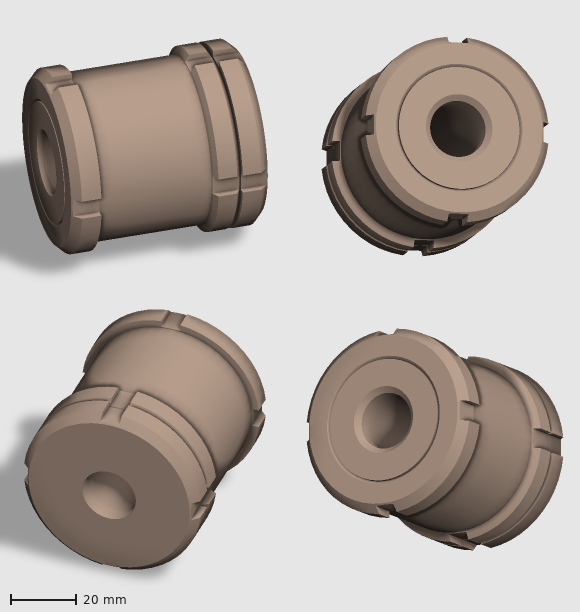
import cadquery as cq
import math

LENGTH = 63.0
SPAN_ACROSS_SLOTS = 57.71
SLOT_WIDTH = 6.2
SLOT_FLOOR_RADIUS = 26.75
SLOT_COUNT = 4

RING_RADIUS = math.hypot(SPAN_ACROSS_SLOTS / 2, SLOT_WIDTH / 2)
BODY_RADIUS = 53.0 / 2
RING_FACE_RADIUS = 52.75 / 2
CORE_RADIUS = 38.1 / 2

FRONT_RING_LENGTH = 9.0
REAR_RING_LENGTH = 8.75
END_CHAMFER_LENGTH = 2.75
MIDDLE_RING_START = 45.0
MIDDLE_RING_LENGTH = 9.0
MIDDLE_CHAMFER_LENGTH = 1.5

BORE_RADIUS = 17.5 / 2
BORE_CHAMFER = 1.75

FACE_GROOVE_RADIUS = 38.38 / 2
FACE_GROOVE_MOUTH_RADIUS = 20.0
FACE_GROOVE_DEPTH = 2.0


def revolve_about_y(points):
    """Revolve a closed (radius, axial position) outline about the Y axis."""
    return cq.Workplane("XY").polyline(points).close().revolve(360, (0, 0, 0), (0, 1, 0))


def make_turned_body():
    """Front ring, plain body, middle ring, deep parting gap and rear ring."""
    middle_ring_end = MIDDLE_RING_START + MIDDLE_RING_LENGTH
    rear_ring_start = LENGTH - REAR_RING_LENGTH
    return revolve_about_y([
        (0, 0),
        (RING_FACE_RADIUS, 0),
        (RING_RADIUS, END_CHAMFER_LENGTH),
        (RING_RADIUS, FRONT_RING_LENGTH),
        (BODY_RADIUS, FRONT_RING_LENGTH),
        (BODY_RADIUS, MIDDLE_RING_START),
        (RING_RADIUS, MIDDLE_RING_START + MIDDLE_CHAMFER_LENGTH),
        (RING_RADIUS, middle_ring_end - MIDDLE_CHAMFER_LENGTH),
        (RING_FACE_RADIUS, middle_ring_end),
        (CORE_RADIUS, middle_ring_end),
        (CORE_RADIUS, rear_ring_start),
        (RING_RADIUS, rear_ring_start),
        (RING_RADIUS, LENGTH - END_CHAMFER_LENGTH),
        (RING_FACE_RADIUS, LENGTH),
        (0, LENGTH),
    ])


def make_bore():
    """Through bore with a chamfered front mouth."""
    return revolve_about_y([
        (0, 0),
        (BORE_RADIUS + BORE_CHAMFER, 0),
        (BORE_RADIUS, BORE_CHAMFER),
        (BORE_RADIUS, LENGTH),
        (0, LENGTH),
    ])


def make_face_groove():
    """Thin annular gap in the front face, with its outer edge chamfered."""
    return revolve_about_y([
        (CORE_RADIUS, 0),
        (FACE_GROOVE_MOUTH_RADIUS, 0),
        (FACE_GROOVE_RADIUS, FACE_GROOVE_MOUTH_RADIUS - FACE_GROOVE_RADIUS),
        (FACE_GROOVE_RADIUS, FACE_GROOVE_DEPTH),
        (CORE_RADIUS, FACE_GROOVE_DEPTH),
    ])


def make_spanner_slot(angle):
    """Flat-floored slot running the full length, turned about the Y axis."""
    slot = cq.Workplane("XY").box(
        SLOT_WIDTH, LENGTH, RING_RADIUS, centered=(True, False, False)
    )
    return slot.translate((0, 0, SLOT_FLOOR_RADIUS)).rotate((0, 0, 0), (0, 1, 0), angle)


part = make_turned_body().cut(make_bore()).cut(make_face_groove())
for index in range(SLOT_COUNT):
    part = part.cut(make_spanner_slot(index * 360 / SLOT_COUNT))

result = part.translate((0, -LENGTH / 2, 0))